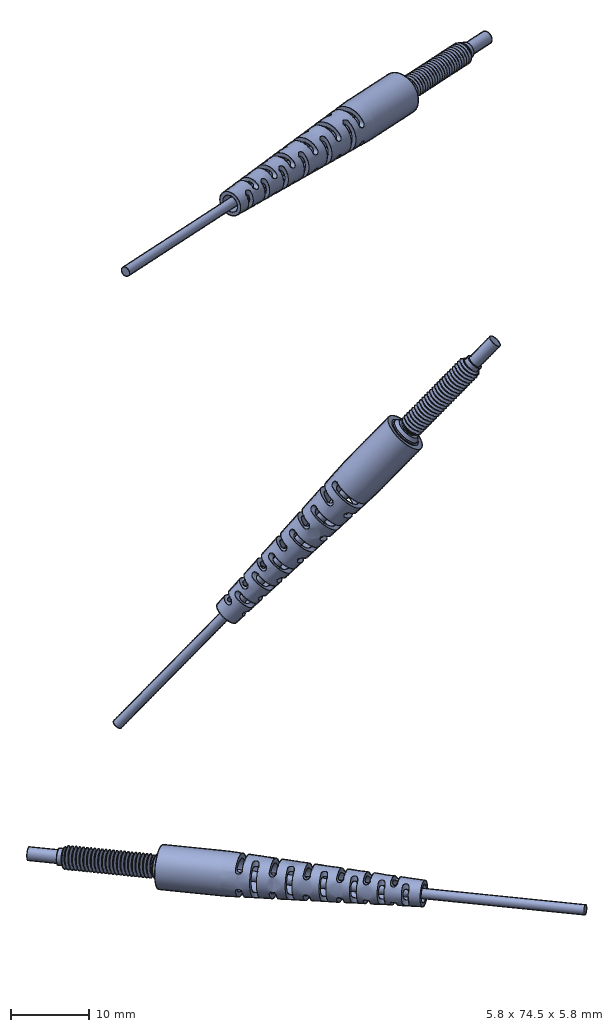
import cadquery as cq

TOTAL_LENGTH = 74.45

BOOT_FRONT = 21.6
TAPER_REAR = 47.9
SLEEVE_REAR = 56.7
FLANGE_REAR = 57.4
STUD_FRONT = 57.6
STUD_REAR = 69.75
COLLAR_REAR = 70.4

SLEEVE_RADIUS = 2.9
BOOT_FRONT_RADIUS = 1.7
HUB_RADIUS = 2.2
BORE_FRONT_RADIUS = 1.2

SLOT_WIDTH = 0.9
SLOT_FLOOR_OFFSET = 1.05
SLOTS_ALONG_Z = [45.65, 41.2, 36.7, 32.3, 28.8, 25.25]
SLOTS_ALONG_X = [43.6, 38.95, 34.5, 30.45, 26.8, 23.6]

CABLE_RADIUS = 0.7
FLANGE_RADIUS = 2.0
FLANGE_CHAMFER = 0.45
COLLAR_RADIUS = 1.1
SHAFT_RADIUS = 0.9

THREAD_RADIUS = 1.6
THREAD_ROOT_RADIUS = COLLAR_RADIUS
THREAD_PITCH = 0.5
THREAD_CHAMFER = 0.3
ROOT_FLAT = THREAD_PITCH / 8
RIDGE_BEDDING = 0.04

CUT_CLEARANCE = 0.1


def revolve_about_y(profile):
    """Turn a closed (radius, y) outline into a solid about the Y axis."""
    return cq.Workplane("XY").polyline(profile).close().revolve(360, (0, 0, 0), (0, 1, 0))


def make_slot_pair(y, turn):
    """Two opposite round-bottomed cutters at station y, turned about Y from the Z direction."""
    floor_radius = SLOT_WIDTH / 2
    arc_start = SLOT_FLOOR_OFFSET + floor_radius
    depth_end = SLEEVE_RADIUS + CUT_CLEARANCE
    cutter = (
        cq.Workplane("YZ")
        .moveTo(y - floor_radius, depth_end)
        .lineTo(y - floor_radius, arc_start)
        .threePointArc((y, SLOT_FLOOR_OFFSET), (y + floor_radius, arc_start))
        .lineTo(y + floor_radius, depth_end)
        .close()
        .extrude(depth_end, both=True)
    )
    pair = cutter.union(cutter.mirror("XY"))
    return pair.rotate((0, 0, 0), (0, 1, 0), turn)


def make_boot():
    """Sleeve and slotted tapered strain relief; the bore is straight in the sleeve, then tapers."""
    boot = revolve_about_y([
        (BORE_FRONT_RADIUS, BOOT_FRONT),
        (BOOT_FRONT_RADIUS, BOOT_FRONT),
        (SLEEVE_RADIUS, TAPER_REAR),
        (SLEEVE_RADIUS, SLEEVE_REAR),
        (HUB_RADIUS, SLEEVE_REAR),
        (HUB_RADIUS, TAPER_REAR),
    ])
    for y in SLOTS_ALONG_Z:
        boot = boot.cut(make_slot_pair(y, 0))
    for y in SLOTS_ALONG_X:
        boot = boot.cut(make_slot_pair(y, 90))
    return boot


def make_thread_ridge():
    """Helical ridge about the Y axis, one pitch longer than the stud and bedded into its root."""
    flank_run = (THREAD_PITCH - ROOT_FLAT) / 2
    flank_slope = flank_run / (THREAD_RADIUS - THREAD_ROOT_RADIUS)
    base_radius = THREAD_ROOT_RADIUS - RIDGE_BEDDING
    base_half = flank_slope * (THREAD_RADIUS - base_radius)
    path = cq.Wire.makeHelix(THREAD_PITCH, STUD_REAR - STUD_FRONT + THREAD_PITCH, base_radius)
    ridge = (
        cq.Workplane("XZ")
        .polyline([
            (base_radius, -base_half),
            (THREAD_RADIUS, 0),
            (base_radius, base_half),
        ])
        .close()
        .sweep(cq.Workplane(path), isFrenet=True)
    )
    start = STUD_FRONT - THREAD_PITCH / 2
    return ridge.rotate((0, 0, 0), (1, 0, 0), -90).translate((0, start, 0))


def make_thread():
    """Thread ridge trimmed to the stud length, with chamfered ends."""
    end_radius = THREAD_RADIUS - THREAD_CHAMFER
    envelope = revolve_about_y([
        (0, STUD_FRONT),
        (end_radius, STUD_FRONT),
        (THREAD_RADIUS + CUT_CLEARANCE, STUD_FRONT + THREAD_CHAMFER + CUT_CLEARANCE),
        (THREAD_RADIUS + CUT_CLEARANCE, STUD_REAR - THREAD_CHAMFER - CUT_CLEARANCE),
        (end_radius, STUD_REAR),
        (0, STUD_REAR),
    ])
    return make_thread_ridge().intersect(envelope)


def make_core():
    """One-piece core: cable, hub, flange, threaded stud, collar and rear shaft."""
    spine = revolve_about_y([
        (0, 0),
        (CABLE_RADIUS, 0),
        (CABLE_RADIUS, TAPER_REAR),
        (HUB_RADIUS, TAPER_REAR),
        (HUB_RADIUS, SLEEVE_REAR),
        (FLANGE_RADIUS, SLEEVE_REAR),
        (FLANGE_RADIUS, FLANGE_REAR - FLANGE_CHAMFER),
        (FLANGE_RADIUS - FLANGE_CHAMFER, FLANGE_REAR),
        (COLLAR_RADIUS, FLANGE_REAR),
        (COLLAR_RADIUS, COLLAR_REAR),
        (SHAFT_RADIUS, COLLAR_REAR),
        (SHAFT_RADIUS, TOTAL_LENGTH),
        (0, TOTAL_LENGTH),
    ])
    return spine.union(make_thread())


boot = make_boot()
core = make_core()

result = cq.Compound.makeCompound([boot.val(), core.val()])